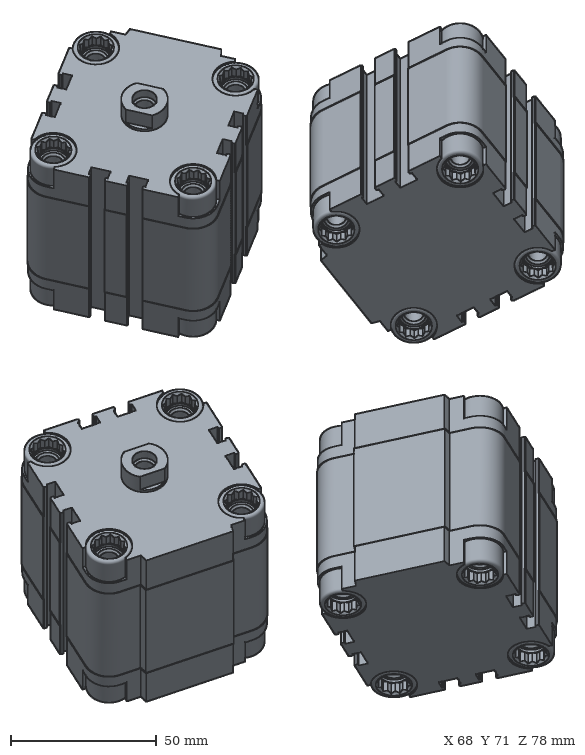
import cadquery as cq
import math

TOTAL_HEIGHT = 78
ROD_STICKOUT = 7.6
HOUSING_HEIGHT = TOTAL_HEIGHT - ROD_STICKOUT
CAP_HEIGHT = 14.5
BARREL_HEIGHT = HOUSING_HEIGHT - 2 * CAP_HEIGHT

HALF_WIDTH = 34.0
CORNER_RADIUS = 9.0
TAB_FACE = 37.0
TAB_BASE_HALF_WIDTH = 17.3
TAB_TOP_HALF_WIDTH = 16.6
CAP_STEP = 0.2

SLOT_SIDE_ANGLES = (0, 180, -90)
SLOT_SPACING = 13.5
SLOT_OPENING = 5.2
SLOT_WIDTH = 6.9
SLOT_FLOOR = HALF_WIDTH - 5.0
SLOT_LIP = HALF_WIDTH - 1.7
LIP_CHAMFER = 0.3

CORNER_ANGLES = (0, 90, 180, 270)
BOSS_OFFSET = HALF_WIDTH - CORNER_RADIUS
BOSS_RADIUS = 16.0 / 2
BOSS_HEIGHT = 9.5
BOSS_FILLET = 1.0
NOTCH_SIZE = 11.7

SOCKET_POINTS = 12
SOCKET_INNER_RADIUS = 10.4 / 2
SOCKET_POINT_DEPTH = 4.7
SOCKET_ENTRY_RADIUS = 6.25
SOCKET_FLOOR_RADIUS = 10.2 / 2
SOCKET_FLOOR_DEPTH = 5.85
SCREW_SINK_RADIUS = 8.3 / 2
SCREW_HOLE_RADIUS = 6.6 / 2

ROD_RADIUS = 16.0 / 2
ROD_LENGTH = ROD_STICKOUT + CAP_HEIGHT
FLAT_DISTANCE = 12.95
FLAT_LENGTH = 6.5
ROD_BORE_RADIUS = 8.4 / 2
ROD_BORE_DEPTH = 3.5
ROD_THREAD_RADIUS = 6.6 / 2
ROD_THREAD_DEPTH = 15.6
DRILL_POINT_HALF_ANGLE = math.radians(60)


def turned(profile):
    """Solid of revolution about Z from (radius, height) points."""
    return cq.Workplane("XZ").polyline(profile).close().revolve(360, (0, 0, 0), (0, 1, 0))


def tee_slots(face, height):
    """Cutters for all T-slots, opening at the given distance from the axis."""
    mouth = SLOT_OPENING / 2
    inner = SLOT_WIDTH / 2
    upper_half = [
        (SLOT_FLOOR, inner),
        (SLOT_LIP, inner),
        (SLOT_LIP, mouth + LIP_CHAMFER),
        (SLOT_LIP + LIP_CHAMFER, mouth),
        (face - LIP_CHAMFER, mouth),
        (face, mouth + LIP_CHAMFER),
    ]
    lower_half = [(x, -y) for x, y in reversed(upper_half)]
    slot = cq.Workplane("XY").polyline(upper_half + lower_half).close().extrude(height)
    cutters = cq.Workplane("XY")
    for angle in SLOT_SIDE_ANGLES:
        for side in (-1, 1):
            shifted = slot.translate((0, side * SLOT_SPACING / 2, 0))
            cutters = cutters.union(shifted.rotate((0, 0, 0), (0, 0, 1), angle))
    return cutters


def housing_segment(inset, bottom, height):
    """Length of slotted profile whose outer faces are moved in by the inset."""
    face = HALF_WIDTH - inset
    square = cq.Workplane("XY").rect(2 * face, 2 * face).extrude(height)
    square = square.edges("|Z").fillet(CORNER_RADIUS - inset)

    base = TAB_BASE_HALF_WIDTH - inset
    top = TAB_TOP_HALF_WIDTH - inset
    tab_face = TAB_FACE - inset
    tab_outline = [
        (-base, 0),
        (base, 0),
        (base, face),
        (top, tab_face),
        (-top, tab_face),
        (-base, face),
    ]
    tab = cq.Workplane("XY").polyline(tab_outline).close().extrude(height)
    return square.union(tab).cut(tee_slots(face, height)).translate((0, 0, bottom))


def corner_notch():
    """Clearance around one boss for the +X +Y corner, from Z = 0 down."""
    inner = CORNER_RADIUS - NOTCH_SIZE
    corner = cq.Workplane("XY").rect(NOTCH_SIZE, NOTCH_SIZE, centered=False).extrude(-BOSS_HEIGHT)
    corner = corner.translate((inner, inner, 0))
    return corner.union(cq.Workplane("XY").circle(BOSS_RADIUS).extrude(-BOSS_HEIGHT))


def boss():
    """Screw boss with a rounded end, from Z = 0 down."""
    post = cq.Workplane("XY").circle(BOSS_RADIUS).extrude(-BOSS_HEIGHT)
    return post.faces(">Z").edges().fillet(BOSS_FILLET)


def screw_socket():
    """Cutter for one double-hexagon socket and its hole to mid height, from Z = 0 down."""
    half_pitch = math.pi / SOCKET_POINTS
    hexagon_half_pitch = math.pi / 6
    point_radius = SOCKET_INNER_RADIUS * math.cos(half_pitch) / math.cos(hexagon_half_pitch)
    star = []
    for index in range(2 * SOCKET_POINTS):
        radius = SOCKET_INNER_RADIUS if index % 2 else point_radius
        angle = index * half_pitch
        star.append((radius * math.cos(angle), radius * math.sin(angle)))
    points = cq.Workplane("XY").polyline(star).close().extrude(-SOCKET_POINT_DEPTH)

    entry_depth = SOCKET_ENTRY_RADIUS - SOCKET_FLOOR_RADIUS
    sink_bottom = SOCKET_FLOOR_DEPTH + SCREW_SINK_RADIUS - SCREW_HOLE_RADIUS
    hole_bottom = HOUSING_HEIGHT / 2
    hole = turned(
        [
            (0, 0),
            (SOCKET_ENTRY_RADIUS, 0),
            (SOCKET_FLOOR_RADIUS, -entry_depth),
            (SOCKET_FLOOR_RADIUS, -SOCKET_FLOOR_DEPTH),
            (SCREW_SINK_RADIUS, -SOCKET_FLOOR_DEPTH),
            (SCREW_HOLE_RADIUS, -sink_bottom),
            (SCREW_HOLE_RADIUS, -hole_bottom),
            (0, -hole_bottom),
        ]
    )
    return points.union(hole)


def at_all_corners(feature):
    """Copies of a feature at the four corners of the front face and of the rear face."""
    copies = cq.Workplane("XY")
    placed = feature.translate((BOSS_OFFSET, BOSS_OFFSET, HOUSING_HEIGHT))
    for angle in CORNER_ANGLES:
        front = placed.rotate((0, 0, 0), (0, 0, 1), angle)
        rear = front.mirror("XY", (0, 0, HOUSING_HEIGHT / 2))
        copies = copies.add(front).add(rear)
    return copies.combine()


def make_housing():
    """Barrel with its two caps, the corner bosses and the hole that holds the rod."""
    rear_cap = housing_segment(CAP_STEP, 0, CAP_HEIGHT)
    barrel = housing_segment(0, CAP_HEIGHT, BARREL_HEIGHT)
    front_cap = housing_segment(CAP_STEP, HOUSING_HEIGHT - CAP_HEIGHT, CAP_HEIGHT)
    body = rear_cap.union(barrel).union(front_cap)
    body = body.cut(at_all_corners(corner_notch()))
    body = body.union(at_all_corners(boss()))
    body = body.cut(at_all_corners(screw_socket()))
    rod_hole = cq.Workplane("XY").circle(ROD_RADIUS).extrude(ROD_LENGTH)
    return body.cut(rod_hole.translate((0, 0, TOTAL_HEIGHT - ROD_LENGTH)))


def rod_bore():
    """Cutter for the counterbored hole with a drill-point bottom, from Z = 0 down."""
    slope = 1 / math.tan(DRILL_POINT_HALF_ANGLE)
    step_depth = ROD_BORE_DEPTH + slope * (ROD_BORE_RADIUS - ROD_THREAD_RADIUS)
    tip_depth = ROD_THREAD_DEPTH + slope * ROD_THREAD_RADIUS
    return turned(
        [
            (0, 0),
            (ROD_BORE_RADIUS, 0),
            (ROD_BORE_RADIUS, -ROD_BORE_DEPTH),
            (ROD_THREAD_RADIUS, -step_depth),
            (ROD_THREAD_RADIUS, -ROD_THREAD_DEPTH),
            (0, -tip_depth),
        ]
    )


def make_piston_rod():
    """Round rod with two wrench flats facing +Y and -Y."""
    shank = cq.Workplane("XY").circle(ROD_RADIUS).extrude(-ROD_LENGTH)
    end = cq.Workplane("XY").circle(ROD_RADIUS).extrude(-FLAT_LENGTH)
    between_flats = cq.Workplane("XY").rect(2 * ROD_RADIUS, FLAT_DISTANCE).extrude(-FLAT_LENGTH)
    rod = shank.cut(end.cut(between_flats)).cut(rod_bore())
    return rod.translate((0, 0, TOTAL_HEIGHT))


housing = make_housing()
piston_rod = make_piston_rod()
result = cq.Compound.makeCompound([housing.solids().val(), piston_rod.solids().val()])